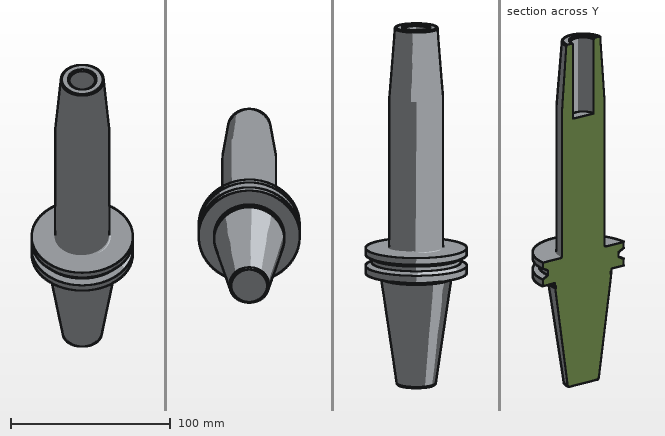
import cadquery as cq

total_height = 228.5

gauge_height = 68.3
gauge_radius = 22.2
taper_slope = 7 / 48
tip_chamfer = 1.1
relief_depth = 0.5
relief_height = 1.1

flange_bottom = 71.5
flange_top = 87.5
flange_radius = 31.7
groove_middle = 79.7
groove_floor_radius = 27.9
groove_floor_width = 3.0
groove_mouth_width = 7.0

shank_radius = 17.0
shank_base_fillet = 1.1
nose_bottom = 184.0
nose_radius = 13.5
nose_chamfer = 0.7

bore_radius = 8.0
bore_depth = 50.2
bore_chamfer = 1.0


def taper_radius(height):
    """Radius of the tapered seat at a given height."""
    return gauge_radius - (gauge_height - height) * taper_slope


def make_body():
    """Revolve the outer profile, listed from the bottom upwards."""
    relief_top = gauge_height + relief_height
    relief_radius = gauge_radius - relief_depth
    profile = (
        cq.Workplane("XZ")
        .moveTo(0, 0)
        .lineTo(taper_radius(tip_chamfer) - tip_chamfer, 0)
        .lineTo(taper_radius(tip_chamfer), tip_chamfer)
        .lineTo(gauge_radius, gauge_height)
        .lineTo(relief_radius, gauge_height)
        .lineTo(relief_radius, relief_top)
        .lineTo(gauge_radius, relief_top)
        .lineTo(gauge_radius, flange_bottom)
        .lineTo(flange_radius, flange_bottom)
        .lineTo(flange_radius, groove_middle - groove_mouth_width / 2)
        .lineTo(groove_floor_radius, groove_middle - groove_floor_width / 2)
        .lineTo(groove_floor_radius, groove_middle + groove_floor_width / 2)
        .lineTo(flange_radius, groove_middle + groove_mouth_width / 2)
        .lineTo(flange_radius, flange_top)
        .lineTo(shank_radius + shank_base_fillet, flange_top)
        .radiusArc((shank_radius, flange_top + shank_base_fillet), shank_base_fillet)
        .lineTo(shank_radius, nose_bottom)
        .lineTo(nose_radius, total_height - nose_chamfer)
        .lineTo(nose_radius - nose_chamfer, total_height)
        .lineTo(0, total_height)
        .close()
    )
    return profile.revolve(360, (0, 0, 0), (0, 1, 0))


def make_bore():
    """Blind tool bore with a chamfered mouth."""
    bore_bottom = total_height - bore_depth
    profile = (
        cq.Workplane("XZ")
        .moveTo(0, bore_bottom)
        .lineTo(bore_radius, bore_bottom)
        .lineTo(bore_radius, total_height - bore_chamfer)
        .lineTo(bore_radius + bore_chamfer, total_height)
        .lineTo(0, total_height)
        .close()
    )
    return profile.revolve(360, (0, 0, 0), (0, 1, 0))


result = make_body().cut(make_bore())